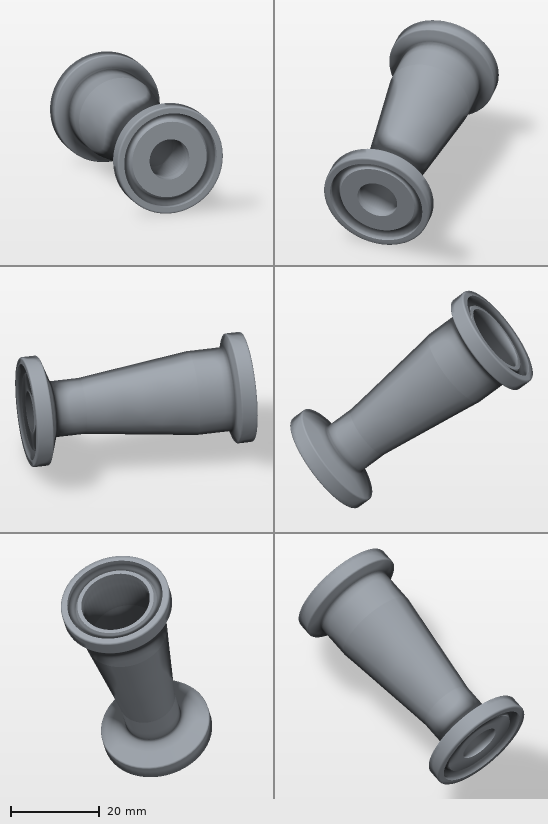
import cadquery as cq
import math

length = 50.8
flange_diameter = 25.0
large_tube_diameter = 19.05
large_bore_diameter = 15.75
small_tube_diameter = 12.7
small_bore_diameter = 9.4

taper_start = 12.7
taper_end = 38.1

rim_width = 3.65
back_cone_angle = math.radians(20.0)
edge_radius = 0.4

land_recess = 0.8
groove_outer_diameter = 21.9
groove_inner_diameter = 17.6
groove_depth = 2.35
groove_inner_slope = math.radians(30.0)

flange_radius = flange_diameter / 2

position_tolerance = 0.005


def back_cone_end(tube_diameter):
    """Distance from the end face to where the flange's back cone meets the tube."""
    return rim_width + (flange_radius - tube_diameter / 2) * math.tan(back_cone_angle)


def revolve_about_x(profile):
    """Close a half profile drawn in X and radius, and turn it fully about the X axis."""
    return profile.close().revolve(360, (0, 0, 0), (1, 0, 0))


def make_body():
    """Outer shape with both flanges, with the flange rims and the flange roots rounded."""
    large_tube_radius = large_tube_diameter / 2
    small_tube_radius = small_tube_diameter / 2
    body = revolve_about_x(
        cq.Workplane("XY")
        .moveTo(0, 0)
        .lineTo(0, flange_radius)
        .lineTo(rim_width, flange_radius)
        .lineTo(back_cone_end(large_tube_diameter), large_tube_radius)
        .lineTo(taper_start, large_tube_radius)
        .lineTo(taper_end, small_tube_radius)
        .lineTo(length - back_cone_end(small_tube_diameter), small_tube_radius)
        .lineTo(length - rim_width, flange_radius)
        .lineTo(length, flange_radius)
        .lineTo(length, 0)
    )
    rounded_positions = [
        0,
        rim_width,
        back_cone_end(large_tube_diameter),
        length - back_cone_end(small_tube_diameter),
        length - rim_width,
        length,
    ]
    circles = body.edges("%CIRCLE")

    def is_rounded(edge):
        edge_x = edge.Center().x
        return any(math.isclose(edge_x, x, abs_tol=position_tolerance) for x in rounded_positions)

    return circles.filter(is_rounded).fillet(edge_radius)


def make_bore():
    """Through bore that tapers over the same stretch as the body."""
    return revolve_about_x(
        cq.Workplane("XY")
        .moveTo(0, 0)
        .lineTo(0, large_bore_diameter / 2)
        .lineTo(taper_start, large_bore_diameter / 2)
        .lineTo(taper_end, small_bore_diameter / 2)
        .lineTo(length, small_bore_diameter / 2)
        .lineTo(length, 0)
    )


def make_groove():
    """Ring cut for the gasket groove and the set-back land in the end face at X = 0."""
    outer_radius = groove_outer_diameter / 2
    inner_radius = groove_inner_diameter / 2
    sin_slope = math.sin(groove_inner_slope)
    cos_slope = math.cos(groove_inner_slope)

    inner_wall_spread = (groove_depth - land_recess) * math.tan(groove_inner_slope)
    flat_width = outer_radius - inner_radius - inner_wall_spread
    bottom_radius = flat_width * cos_slope / (1 + cos_slope - sin_slope)
    centre_x = groove_depth - bottom_radius
    centre_radius = outer_radius - bottom_radius

    return revolve_about_x(
        cq.Workplane("XY")
        .moveTo(0, small_bore_diameter / 2)
        .lineTo(land_recess, small_bore_diameter / 2)
        .lineTo(land_recess, inner_radius)
        .lineTo(centre_x + bottom_radius * sin_slope, centre_radius - bottom_radius * cos_slope)
        .threePointArc((groove_depth, centre_radius), (centre_x, outer_radius))
        .lineTo(0, outer_radius)
    )


groove = make_groove()
opposite_groove = groove.mirror("YZ", (length / 2, 0, 0))

result = make_body().cut(make_bore()).cut(groove).cut(opposite_groove)